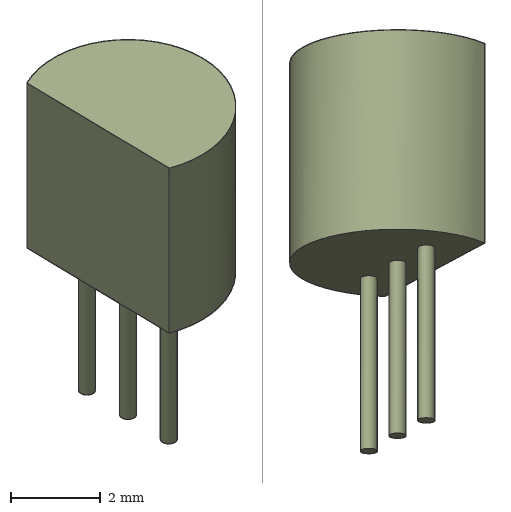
import cadquery as cq
import math

total_height = 8.74
housing_height = 4.685
housing_diameter = 4.82
flat_distance = 0.96

lead_diameter = 0.385
lead_pitch = 1.27
lead_count = 3
lead_length = total_height - housing_height


def make_housing():
    """D-shaped prism standing on Z = 0, with its flat facing -Y."""
    radius = housing_diameter / 2
    flat_half_width = math.sqrt(radius**2 - flat_distance**2)
    return (
        cq.Workplane("XY")
        .moveTo(-flat_half_width, -flat_distance)
        .lineTo(flat_half_width, -flat_distance)
        .threePointArc((0, radius), (-flat_half_width, -flat_distance))
        .close()
        .extrude(housing_height)
    )


def make_lead(x):
    """Round lead hanging from the underside of the housing."""
    return cq.Workplane("XY").center(x, 0).circle(lead_diameter / 2).extrude(-lead_length)


housing = make_housing()

first_lead_x = -lead_pitch * (lead_count - 1) / 2
leads = [make_lead(first_lead_x + i * lead_pitch) for i in range(lead_count)]

result = cq.Compound.makeCompound([housing.val(), *[lead.val() for lead in leads]])